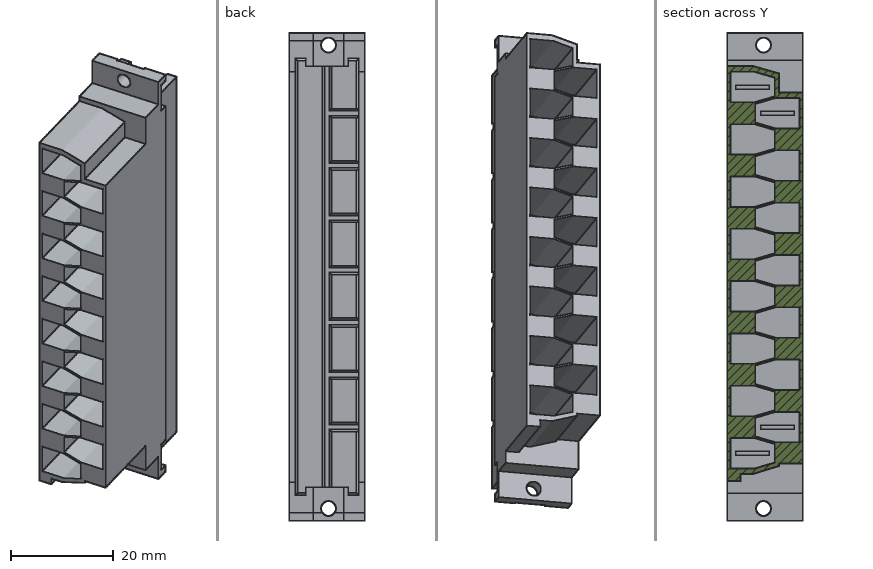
import cadquery as cq


WIDTH = 14.7
LENGTH = 94.75
DEPTH = 30.92

SHOULDER_Y = 15.95
FLANGE_REAR_Y = 21.08
SLOT_FLOOR_Y = 22.26
FLANGE_FRONT_Y = 23.94

SHOULDER_HALF = 42.05
FACE_HALF = 42.4
SLOT_INNER_HALF = 39.85
SLOT_OUTER_HALF = 45.85

HOLE_DIAMETER = 2.85
HOLE_SPACING = 90.0
HOLE_X = -0.29
RELIEF_WIDTH = 6.0
RELIEF_DEPTH = 0.4

FACE_WIDTH = 12.34
FACE_CHAMFER = 0.45
END_RECESS_WIDTH = 8.28
END_RECESS_DEPTH = 1.5
GROOVE_MOUTH = 1.8
GROOVE_BOTTOM = 0.9
GROOVE_DEPTH = 1.5

PITCH = 10.16
FIRST_LEFT_Z = 36.85
LEFT_COUNT = 8
RIGHT_COUNT = LEFT_COUNT - 1
CHAMBER_OUTER_X = 6.7
CHAMBER_INNER_X = 1.85
CHAMBER_TAPER_X = 2.0
CHAMBER_OUTER_HALF = 2.93
CHAMBER_INNER_HALF = 1.8
CHAMBER_DEPTH = SHOULDER_Y
BLADE_SLOT_LENGTH = 6.45
BLADE_SLOT_HEIGHT = 0.8
BLADE_SLOT_X = 2.43
BLADE_SLOT_DEPTH = 2.0

BLOCK_TOP_Z = 40.95
TOP_SLOPE_END_Z = 39.5
TOP_STEP_Z = 35.8
BOTTOM_STEP_Z = -36.3
BOTTOM_SLOPE_START_Z = -36.75
BOTTOM_SLOPE_END_Z = -38.3
BLOCK_BOTTOM_Z = -39.67
SLOPE_RIGHT_X = 2.75
SLOPE_LEFT_X = -2.3
FOOT_RIGHT_X = -4.72

left_row_z = [FIRST_LEFT_Z - i * PITCH for i in range(LEFT_COUNT)]
right_row_z = [FIRST_LEFT_Z - (i + 0.5) * PITCH for i in range(RIGHT_COUNT)]


def slab(x_range, y_range, z_range):
    """Box between the given limits."""
    (x0, x1), (y0, y1), (z0, z1) = x_range, y_range, z_range
    return cq.Workplane("XY").box(x1 - x0, y1 - y0, z1 - z0, centered=False).translate((x0, y0, z0))


def centred_slab(width, y_range, length):
    """Box centred on X and Z."""
    return slab((-width / 2, width / 2), y_range, (-length / 2, length / 2))


def extrude_xz(points, y_start, y_end):
    """Extrude a closed outline given in (X, Z) from y_start to y_end."""
    sketch = cq.Workplane("XZ", origin=(0, y_start, 0)).polyline(points).close()
    return sketch.extrude(y_start - y_end)


def wire_block():
    """Solid wire-side block that the contact chambers are cut from."""
    right = WIDTH / 2
    left = -right
    outline = [
        (left, BLOCK_TOP_Z),
        (SLOPE_LEFT_X, BLOCK_TOP_Z),
        (SLOPE_RIGHT_X, TOP_SLOPE_END_Z),
        (SLOPE_RIGHT_X, TOP_STEP_Z),
        (right, TOP_STEP_Z),
        (right, BOTTOM_STEP_Z),
        (SLOPE_RIGHT_X, BOTTOM_STEP_Z),
        (SLOPE_RIGHT_X, BOTTOM_SLOPE_START_Z),
        (SLOPE_LEFT_X, BOTTOM_SLOPE_END_Z),
        (FOOT_RIGHT_X, BOTTOM_SLOPE_END_Z),
        (FOOT_RIGHT_X, BLOCK_BOTTOM_Z),
        (left, BLOCK_BOTTOM_Z),
    ]
    return extrude_xz(outline, 0, SHOULDER_Y)


def flange():
    """Shoulder and flange; each end has a hole between two side slots and a shallow edge relief."""
    body = centred_slab(WIDTH, (SHOULDER_Y, FLANGE_FRONT_Y), 2 * SHOULDER_HALF)
    body = body.union(centred_slab(WIDTH, (FLANGE_REAR_Y, FLANGE_FRONT_Y), LENGTH))
    relief_x = (HOLE_X - RELIEF_WIDTH / 2, HOLE_X + RELIEF_WIDTH / 2)
    relief_y = (FLANGE_FRONT_Y - RELIEF_DEPTH, FLANGE_FRONT_Y)
    slot_y = (SLOT_FLOOR_Y, FLANGE_FRONT_Y)
    for side in (1, -1):
        slot_z = sorted((side * SLOT_INNER_HALF, side * SLOT_OUTER_HALF))
        relief_z = sorted((side * SLOT_OUTER_HALF, side * LENGTH / 2))
        body = body.cut(slab((-WIDTH / 2, relief_x[0]), slot_y, slot_z))
        body = body.cut(slab((relief_x[1], WIDTH / 2), slot_y, slot_z))
        body = body.cut(slab(relief_x, relief_y, relief_z))
        hole = cq.Workplane("XZ", origin=(HOLE_X, FLANGE_FRONT_Y, side * HOLE_SPACING / 2))
        body = body.cut(hole.circle(HOLE_DIAMETER / 2).extrude(FLANGE_FRONT_Y - FLANGE_REAR_Y))
    return body


def groove_outline(workplane):
    """Tapered groove section; local X is across the groove, local Y is the part's Y."""
    bottom_y = DEPTH - GROOVE_DEPTH
    return workplane.polyline([
        (-GROOVE_MOUTH / 2, DEPTH),
        (GROOVE_MOUTH / 2, DEPTH),
        (GROOVE_BOTTOM / 2, bottom_y),
        (-GROOVE_BOTTOM / 2, bottom_y),
    ]).close()


def mating_face():
    """Mating block with recessed ends, a long centre groove and grooves across its left half."""
    block = centred_slab(FACE_WIDTH, (SLOT_FLOOR_Y, DEPTH), 2 * FACE_HALF)
    block = block.faces(">Y").chamfer(FACE_CHAMFER)
    recess_x = (-END_RECESS_WIDTH / 2, END_RECESS_WIDTH / 2)
    for side in (1, -1):
        recess_z = sorted((side * (FACE_HALF - END_RECESS_DEPTH), side * FACE_HALF))
        block = block.cut(slab(recess_x, (SLOT_FLOOR_Y, DEPTH), recess_z))

    long_groove = groove_outline(cq.Workplane("XY", origin=(0, 0, -FACE_HALF)))
    block = block.cut(long_groove.extrude(2 * FACE_HALF))

    for z in right_row_z:
        plane = cq.Plane(origin=(-FACE_WIDTH / 2, 0, z), xDir=(0, 0, -1), normal=(1, 0, 0))
        block = block.cut(groove_outline(cq.Workplane(plane)).extrude(FACE_WIDTH / 2))
    return block


def chamber(side, z):
    """Tapered contact chamber; side is -1 for the left row and 1 for the right row."""
    taper_x = side * CHAMBER_TAPER_X
    outline = [
        (side * CHAMBER_OUTER_X, z + CHAMBER_OUTER_HALF),
        (taper_x, z + CHAMBER_OUTER_HALF),
        (-side * CHAMBER_INNER_X, z + CHAMBER_INNER_HALF),
        (-side * CHAMBER_INNER_X, z - CHAMBER_INNER_HALF),
        (taper_x, z - CHAMBER_OUTER_HALF),
        (side * CHAMBER_OUTER_X, z - CHAMBER_OUTER_HALF),
    ]
    return extrude_xz(outline, 0, CHAMBER_DEPTH)


def blade_slot(side, z):
    """Blind slot in the floor of a chamber."""
    centre_x = side * BLADE_SLOT_X
    return slab(
        (centre_x - BLADE_SLOT_LENGTH / 2, centre_x + BLADE_SLOT_LENGTH / 2),
        (CHAMBER_DEPTH, CHAMBER_DEPTH + BLADE_SLOT_DEPTH),
        (z - BLADE_SLOT_HEIGHT / 2, z + BLADE_SLOT_HEIGHT / 2),
    )


housing = wire_block().union(flange()).union(mating_face())
for row_side, row_z in ((-1, left_row_z), (1, right_row_z)):
    for chamber_z in row_z:
        housing = housing.cut(chamber(row_side, chamber_z))
    for slot_z in (row_z[0], row_z[-1]):
        housing = housing.cut(blade_slot(row_side, slot_z))

result = housing